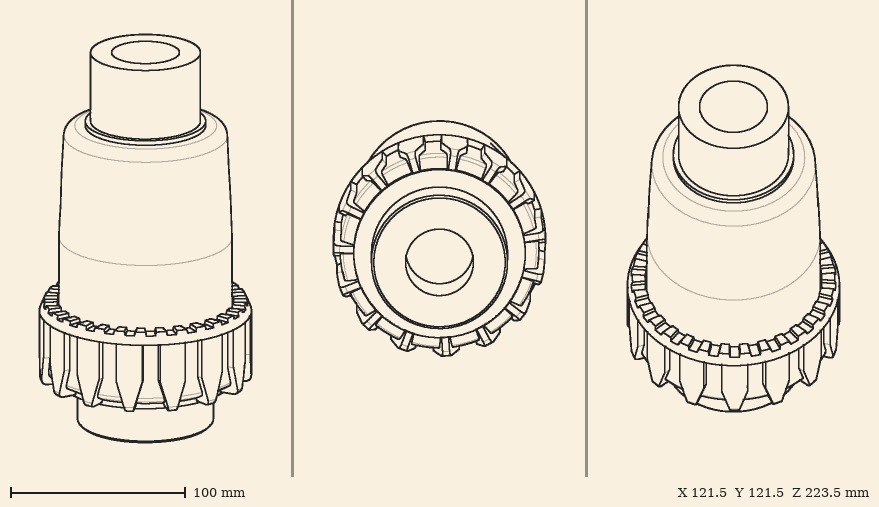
import cadquery as cq
import math

TOTAL_HEIGHT = 223.5
BORE_RADIUS = 39.0 / 2
SEAT_Z = 33.7
TAIL_RADIUS = 78.0 / 2

HOUSING_RADIUS = 99.2 / 2
TAPER_START_Z = 111.8
TAPER_BULGE = 0.2
TAPER_END_LEAN = 3.5
SHOULDER_Z = 179.2
SHOULDER_FLAT_RADIUS = 81.4 / 2
SHOULDER_ROUND = 6.3
COLLAR_RADIUS = 69.0 / 2
COLLAR_TOP_Z = 182.0
SPIGOT_RADIUS = 63.0 / 2

TAIL_CHAMFER_RADIAL = 1.3
TAIL_CHAMFER_HEIGHT = 1.3

NUT_RADIUS = 121.5 / 2
NUT_TOP_RADIUS = 57.9
NUT_BORE_RADIUS = 101.2 / 2
NUT_LIP_RADIUS = 98.3 / 2
NUT_VALLEY_RADIUS = 57.0
NUT_BOTTOM_Z = 24.5
NUT_RIM_Z = 67.0
NUT_TOP_Z = 74.0
VALLEY_ROUND = 3.1
UNDERSIDE_SLOPE = 28.0

RIB_COUNT = 15
RIB_WIDTH = 15.0
RIB_TIP_WIDTH = 4.0
RIB_TAPER_Z = 44.3
RIB_BOTTOM_Z = 26.0
RIB_ROUND = 3.4

SLOT_COUNT = 30
SLOT_DEPTH = 2.0
SLOT_FLOOR_WIDTH = 5.1
SLOT_TOP_WIDTH = 6.3

FRONT_ANGLE = -90.0
FULL_TURN = 360.0
CLEARANCE = 2.2


def revolve_profile(sketch):
    """Revolve a closed outline, drawn with X as radius and Y as height, about Z."""
    return sketch.close().revolve(FULL_TURN, (0, 0, 0), (0, 1, 0))


def arc_point(center, radius, degrees):
    angle = math.radians(degrees)
    return (center[0] + radius * math.cos(angle), center[1] + radius * math.sin(angle))


def turned_copies(shape, count):
    """Copies of a shape made on the +X direction, spread evenly from the front."""
    step = FULL_TURN / count
    return [shape.rotate((0, 0, 0), (0, 0, 1), FRONT_ANGLE + i * step) for i in range(count)]


def make_housing():
    round_center = (SHOULDER_FLAT_RADIUS, SHOULDER_Z - SHOULDER_ROUND)
    taper_end = arc_point(round_center, SHOULDER_ROUND, TAPER_END_LEAN)
    round_middle = arc_point(round_center, SHOULDER_ROUND, (TAPER_END_LEAN + 90) / 2)
    taper_middle = (
        (HOUSING_RADIUS + taper_end[0]) / 2 + TAPER_BULGE,
        (TAPER_START_Z + taper_end[1]) / 2,
    )
    outline = (
        cq.Workplane("XZ")
        .moveTo(BORE_RADIUS, SEAT_Z)
        .lineTo(HOUSING_RADIUS, SEAT_Z)
        .lineTo(HOUSING_RADIUS, TAPER_START_Z)
        .threePointArc(taper_middle, taper_end)
        .threePointArc(round_middle, (SHOULDER_FLAT_RADIUS, SHOULDER_Z))
        .lineTo(COLLAR_RADIUS, SHOULDER_Z)
        .lineTo(COLLAR_RADIUS, COLLAR_TOP_Z)
        .lineTo(SPIGOT_RADIUS, COLLAR_TOP_Z)
        .lineTo(SPIGOT_RADIUS, TOTAL_HEIGHT)
        .lineTo(BORE_RADIUS, TOTAL_HEIGHT)
    )
    return revolve_profile(outline)


def make_tailpiece():
    outline = (
        cq.Workplane("XZ")
        .moveTo(BORE_RADIUS, 0)
        .lineTo(TAIL_RADIUS - TAIL_CHAMFER_RADIAL, 0)
        .lineTo(TAIL_RADIUS, TAIL_CHAMFER_HEIGHT)
        .lineTo(TAIL_RADIUS, SEAT_Z)
        .lineTo(BORE_RADIUS, SEAT_Z)
    )
    return revolve_profile(outline)


def make_nut_ring():
    """Plain ring: coned rim on top, rounded valley wall, sloped underside, inner lip."""
    round_center = (NUT_VALLEY_RADIUS - VALLEY_ROUND, SEAT_Z)
    round_sweep = 90 - UNDERSIDE_SLOPE
    slope_start = arc_point(round_center, VALLEY_ROUND, -round_sweep)
    round_middle = arc_point(round_center, VALLEY_ROUND, -round_sweep / 2)
    slope_drop = (slope_start[0] - NUT_LIP_RADIUS) * math.tan(math.radians(UNDERSIDE_SLOPE))
    outline = (
        cq.Workplane("XZ")
        .moveTo(TAIL_RADIUS, NUT_BOTTOM_Z)
        .lineTo(NUT_LIP_RADIUS, NUT_BOTTOM_Z)
        .lineTo(NUT_LIP_RADIUS, slope_start[1] - slope_drop)
        .lineTo(*slope_start)
        .threePointArc(round_middle, (NUT_VALLEY_RADIUS, SEAT_Z))
        .lineTo(NUT_VALLEY_RADIUS, NUT_RIM_Z)
        .lineTo(NUT_RADIUS, NUT_RIM_Z)
        .lineTo(NUT_TOP_RADIUS, NUT_TOP_Z)
        .lineTo(NUT_BORE_RADIUS, NUT_TOP_Z)
        .lineTo(NUT_BORE_RADIUS, SEAT_Z)
        .lineTo(TAIL_RADIUS, SEAT_Z)
    )
    return revolve_profile(outline)


def make_rib():
    """One grip rib on +X: parallel sides above, tapering to a narrow rounded foot."""
    height = NUT_RIM_Z - RIB_BOTTOM_Z
    envelope = (
        cq.Workplane("XY", origin=(0, 0, RIB_BOTTOM_Z))
        .circle(NUT_RADIUS)
        .extrude(height)
        .faces("<Z").edges().fillet(RIB_ROUND)
    )
    inner_space = (
        cq.Workplane("XY", origin=(0, 0, SEAT_Z))
        .circle(NUT_BORE_RADIUS)
        .extrude(height)
    )
    lip_space = (
        cq.Workplane("XY", origin=(0, 0, RIB_BOTTOM_Z))
        .circle(NUT_LIP_RADIUS)
        .extrude(SEAT_Z - RIB_BOTTOM_Z)
    )
    face = (
        cq.Workplane("YZ")
        .polyline([
            (-RIB_TIP_WIDTH / 2, RIB_BOTTOM_Z),
            (RIB_TIP_WIDTH / 2, RIB_BOTTOM_Z),
            (RIB_WIDTH / 2, RIB_TAPER_Z),
            (RIB_WIDTH / 2, NUT_RIM_Z),
            (-RIB_WIDTH / 2, NUT_RIM_Z),
            (-RIB_WIDTH / 2, RIB_TAPER_Z),
        ])
        .close()
        .extrude(NUT_RADIUS + CLEARANCE)
    )
    return face.intersect(envelope).cut(inner_space).cut(lip_space)


def make_slot_cutter():
    """One radial slot on +X with sides that open slightly toward the top."""
    widening = (SLOT_TOP_WIDTH - SLOT_FLOOR_WIDTH) / 2 / SLOT_DEPTH
    half_floor = SLOT_FLOOR_WIDTH / 2
    half_top = SLOT_TOP_WIDTH / 2 + widening * CLEARANCE
    floor_z = NUT_TOP_Z - SLOT_DEPTH
    return (
        cq.Workplane("YZ")
        .polyline([
            (-half_floor, floor_z),
            (half_floor, floor_z),
            (half_top, NUT_TOP_Z + CLEARANCE),
            (-half_top, NUT_TOP_Z + CLEARANCE),
        ])
        .close()
        .extrude(NUT_RADIUS + CLEARANCE)
    )


def make_nut():
    nut = make_nut_ring()
    for rib in turned_copies(make_rib(), RIB_COUNT):
        nut = nut.union(rib)
    for slot in turned_copies(make_slot_cutter(), SLOT_COUNT):
        nut = nut.cut(slot)
    return nut


housing = make_housing()
tailpiece = make_tailpiece()
nut = make_nut()

result = cq.Compound.makeCompound([housing.val(), tailpiece.val(), nut.val()])